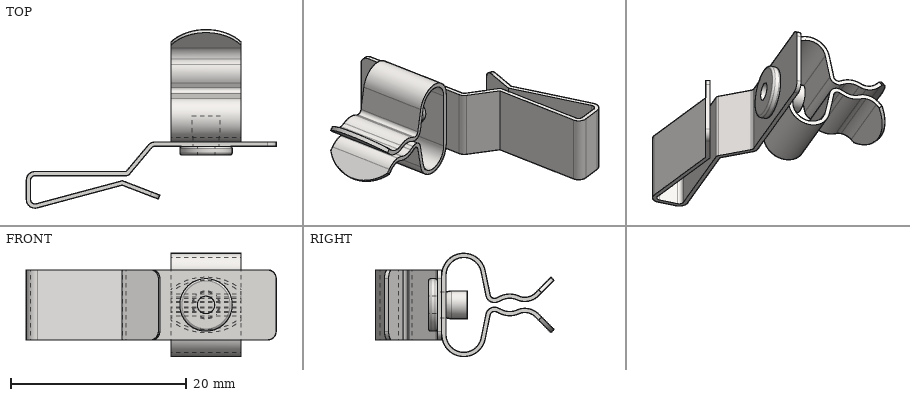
import cadquery as cq
import math


half_gauge = 0.25
gauge = 2 * half_gauge
sheet_width = 8.0
tight_bend = 1.5 * gauge
medium_bend = 3.5 * gauge
open_bend = 4 * gauge
wide_bend = 4.5 * gauge

strip_length = 28.5
strip_end_x = 8.0
mount_length = 13.82
step_angle = 50.0
step_depth = 3.35
jaw_heel_length = 2.2
jaw_angle = 15.0
jaw_length = 10.1
lip_angle = 21.0
lip_length = 4.5
corner_radius = 1.0

loop_center_z = 3.4
pinch_y = 6.0
half_gap = 0.25
wave_angle = 25.0
wave_link = 0.5
flare_angle = 45.0
flare_length = 2.5
flare_round = 5.0

head_radius = 3.0
head_thickness = 1.0
head_edge_round = 0.25
socket_radius = 1.0
socket_depth = head_thickness
shank_radius = 1.6
shank_end_y = 2.94
shoulder_y = 1.1
neck_radius = 1.48


def ahead(point, heading, distance):
    """Point reached from another one along a heading in degrees."""
    angle = math.radians(heading)
    return (point[0] + distance * math.cos(angle), point[1] + distance * math.sin(angle))


def sheet_outline(plane, start, heading, path):
    """Closed outline of a sheet that follows a centreline.

    The path holds ("line", length), ("bend", radius, turn) and ("fold", turn),
    where a fold is a sharp mitred corner and turns to the left are positive.
    Returns the outline with the end point and the end heading of the centreline.
    """
    point = start
    edges = {half_gauge: [], -half_gauge: []}
    for offset, edge in edges.items():
        edge.append((ahead(point, heading + 90, offset), None))
    for kind, *sizes in path:
        if kind == "line":
            point = ahead(point, heading, sizes[0])
            for offset, edge in edges.items():
                edge.append((ahead(point, heading + 90, offset), None))
        elif kind == "fold":
            turn = sizes[0]
            mitre = 1 / math.cos(math.radians(turn / 2))
            for offset, edge in edges.items():
                edge[-1] = (ahead(point, heading + 90 + turn / 2, offset * mitre), None)
            heading += turn
        else:
            radius, turn = sizes
            side = math.copysign(1, turn)
            center = ahead(point, heading + 90, side * radius)
            for offset, edge in edges.items():
                reach = side * radius - offset
                if reach != 0:
                    middle = ahead(center, heading - 90 + turn / 2, reach)
                    edge.append((ahead(center, heading - 90 + turn, reach), middle))
            point = ahead(center, heading - 90 + turn, side * radius)
            heading += turn

    left, right = edges.values()
    outline = cq.Workplane(plane).moveTo(*right[0][0])
    for end, middle in right[1:]:
        outline = outline.threePointArc(middle, end) if middle else outline.lineTo(*end)
    outline = outline.lineTo(*left[-1][0])
    for (_, middle), (end, _) in zip(left[:0:-1], left[-2::-1]):
        outline = outline.threePointArc(middle, end) if middle else outline.lineTo(*end)
    return outline.close(), point, heading


def rivet_hole():
    """Hole for the rivet neck through both sheets."""
    return cq.Workplane("XZ", origin=(0, gauge, 0)).circle(neck_radius).extrude(2 * gauge)


def make_strip():
    """Mounting flat, step down to a shelf, and a jaw folded back under the shelf."""
    sine = math.sin(math.radians(step_angle))
    cosine = math.cos(math.radians(step_angle))
    step_radii = tight_bend + half_gauge
    ramp_length = (step_depth - step_radii * (1 - cosine)) / sine
    step_run = step_radii * sine + ramp_length * cosine
    shelf_length = strip_length - mount_length - step_run - tight_bend - half_gauge
    outline, lip_end, _ = sheet_outline("XY", (strip_end_x, -half_gauge), 180, [
        ("line", mount_length),
        ("bend", tight_bend, step_angle),
        ("line", ramp_length),
        ("bend", half_gauge, -step_angle),
        ("line", shelf_length),
        ("bend", tight_bend, 90),
        ("line", jaw_heel_length),
        ("bend", tight_bend, 90 + jaw_angle),
        ("line", jaw_length),
        ("fold", -jaw_angle - lip_angle),
        ("line", lip_length),
    ])
    strip = outline.extrude(sheet_width / 2, both=True)
    strip = strip.faces(">X").edges("|Y").fillet(corner_radius)
    for side in (-1, 1):
        lip_corner = (*lip_end, side * sheet_width / 2)
        strip = strip.edges(cq.selectors.NearestToPointSelector(lip_corner)).fillet(corner_radius)
    return strip.cut(rivet_hole())


def flare_end_cutter(tip, heading):
    """Material to remove beyond the rounded end of a flare."""
    half_width = sheet_width / 2
    sag = flare_round - math.sqrt(flare_round ** 2 - half_width ** 2)
    slope = math.radians(heading)
    plane = cq.Plane(origin=(0, *tip), xDir=(1, 0, 0), normal=(0, -math.sin(slope), math.cos(slope)))
    return (
        cq.Workplane(plane)
        .moveTo(-half_width, -sag)
        .threePointArc((0, 0), (half_width, -sag))
        .lineTo(half_width, gauge)
        .lineTo(-half_width, gauge)
        .close()
        .extrude(gauge, both=True)
    )


def make_clip():
    """Two mirrored spring arms on a flat base: loop, leg, pinch, bump, trough and flare."""
    loop_center_y = half_gauge + wide_bend
    pinch_center_z = half_gap + half_gauge + tight_bend
    run = pinch_y - loop_center_y
    drop = loop_center_z - pinch_center_z
    spacing = math.hypot(run, drop)
    radii = wide_bend + tight_bend
    leg_length = math.sqrt(spacing ** 2 - radii ** 2)
    leg_slope = math.degrees(math.atan2(drop, run) + math.asin(radii / spacing))

    outline, tip, heading = sheet_outline("YZ", (half_gauge, 0), 90, [
        ("line", loop_center_z),
        ("bend", wide_bend, -90 - leg_slope),
        ("line", leg_length),
        ("bend", tight_bend, leg_slope + wave_angle),
        ("line", wave_link),
        ("bend", wide_bend, -2 * wave_angle),
        ("bend", medium_bend, wave_angle),
        ("bend", open_bend, flare_angle),
        ("line", flare_length),
    ])
    arm = outline.extrude(sheet_width / 2, both=True).cut(flare_end_cutter(tip, heading))
    return arm.union(arm.mirror("XY")).cut(rivet_hole())


def make_rivet():
    """Round head with a blind socket, a neck through the sheets and a thicker shank."""
    head_top_y = -gauge - head_thickness
    head = cq.Workplane("XZ", origin=(0, -gauge, 0)).circle(head_radius).extrude(head_thickness)
    head = head.edges().fillet(head_edge_round)

    shoulder_length = shoulder_y - gauge
    inset = shank_radius - neck_radius
    shoulder_arc = (shoulder_length ** 2 + inset ** 2) / (2 * inset)
    half_sweep = math.asin(shoulder_length / shoulder_arc) / 2
    shoulder_middle = (
        shank_radius - shoulder_arc * (1 - math.cos(half_sweep)),
        shoulder_y - shoulder_arc * math.sin(half_sweep),
    )
    shank = (
        cq.Workplane("XY")
        .moveTo(0, -gauge)
        .lineTo(neck_radius, -gauge)
        .lineTo(neck_radius, gauge)
        .threePointArc(shoulder_middle, (shank_radius, shoulder_y))
        .lineTo(shank_radius, shank_end_y)
        .lineTo(0, shank_end_y)
        .close()
        .revolve(360, (0, 0), (0, 1))
    )
    socket_floor = (0, head_top_y + socket_depth, 0)
    socket = cq.Workplane("XZ", origin=socket_floor).circle(socket_radius).extrude(socket_depth)
    return head.union(shank).cut(socket)


strip = make_strip()
clip = make_clip()
rivet = make_rivet()

result = cq.Compound.makeCompound([strip.val(), clip.val(), rivet.val()])